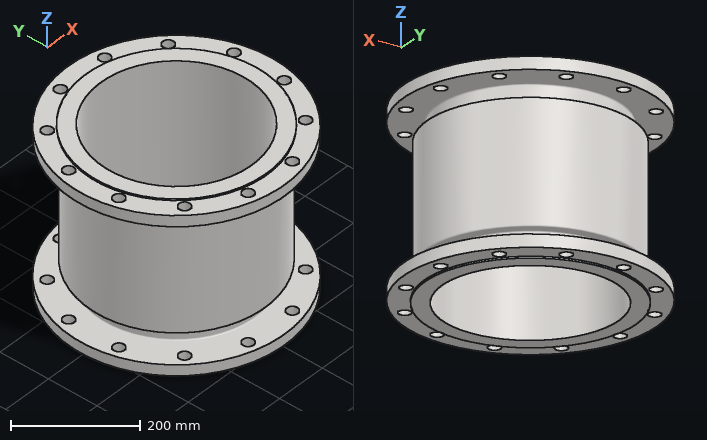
import cadquery as cq
import math

flange_diameter = 445.0
total_length = 325.0

bore_diameter = 309.5
neck_diameter = 324.0
body_diameter = 364.5
body_length = 215.5
body_edge_fillet = 3.0

flange_thickness = 22.2
raised_face_diameter = 371.0
raised_face_height = 3.0

weld_radius = 3.0
weld_overlap = 1.0

bolt_circle_diameter = 400.0
bolt_hole_diameter = 22.0
bolt_count = 12
first_bolt_angle = 360 / bolt_count / 2

body_end = body_length / 2
flange_outer_face = total_length / 2 - raised_face_height
flange_inner_face = flange_outer_face - flange_thickness


def disc(diameter, start, length):
    """Solid cylinder on the Z axis, rising from the level start."""
    return cq.Workplane("XY").workplane(offset=start).circle(diameter / 2).extrude(length)


def weld_bead(level, direction):
    """Concave bead around the neck, narrowing away from level along direction."""
    neck_radius = neck_diameter / 2
    arc_inset = weld_radius * (1 - math.sqrt(0.5))
    return (
        cq.Workplane("XZ")
        .moveTo(neck_radius - weld_overlap, level)
        .lineTo(neck_radius + weld_radius, level)
        .threePointArc(
            (neck_radius + arc_inset, level + direction * arc_inset),
            (neck_radius, level + direction * weld_radius),
        )
        .lineTo(neck_radius - weld_overlap, level + direction * weld_radius)
        .close()
        .revolve(360, (0, 0, 0), (0, 1, 0))
    )


def upper_end():
    """Upper flange with its raised face, welds and bolt holes."""
    flange = disc(flange_diameter, flange_inner_face, flange_thickness)
    bolt_holes = (
        cq.Workplane("XY")
        .workplane(offset=flange_inner_face)
        .polarArray(bolt_circle_diameter / 2, first_bolt_angle, 360, bolt_count)
        .circle(bolt_hole_diameter / 2)
        .extrude(flange_thickness)
    )
    return (
        flange.cut(bolt_holes)
        .union(disc(raised_face_diameter, flange_outer_face, raised_face_height))
        .union(weld_bead(flange_inner_face, -1))
        .union(weld_bead(body_end, 1))
    )


body = disc(body_diameter, -body_end, body_length).edges().fillet(body_edge_fillet)
pipe = disc(neck_diameter, -flange_outer_face, 2 * flange_outer_face)

end = upper_end()
solid = body.union(pipe).union(end).union(end.mirror("XY"))

bore = disc(bore_diameter, -total_length / 2, total_length)
result = solid.cut(bore)